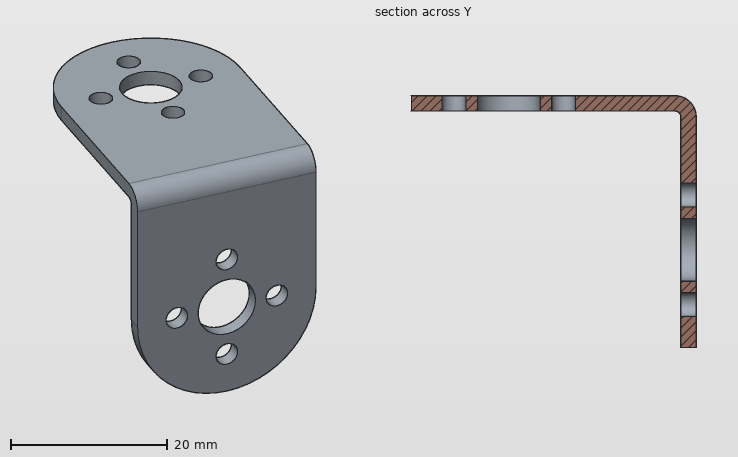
import cadquery as cq

width = 25.0
length_x = 36.5
height_z = 32.25
thickness = 2.0
inner_bend_radius = 0.74
outer_bend_radius = inner_bend_radius + thickness

end_radius = width / 2
center_hole_diameter = 8.0
screw_hole_diameter = 3.0
screw_circle_radius = 7.0
screw_count = 4

horizontal_reach = length_x - end_radius
vertical_reach = height_z - end_radius


def leg_blank(reach):
    """Flat leg on the XY plane: outer corner at X = 0, rounded end towards -X."""
    return (
        cq.Workplane("XY")
        .moveTo(0, -end_radius)
        .lineTo(-reach, -end_radius)
        .threePointArc((-reach - end_radius, 0), (-reach, end_radius))
        .lineTo(0, end_radius)
        .close()
        .extrude(-thickness)
    )


def leg_holes(reach):
    """Cutters for the centre hole and its ring of screw holes in a flat leg."""
    base = cq.Workplane("XY").center(-reach, 0)
    center_hole = base.circle(center_hole_diameter / 2).extrude(-thickness)
    screw_holes = (
        base.polarArray(screw_circle_radius, 0, 360, screw_count)
        .circle(screw_hole_diameter / 2)
        .extrude(-thickness)
    )
    return center_hole.union(screw_holes)


def make_leg(reach):
    """Flat leg with its rounded end and hole pattern."""
    return leg_blank(reach).cut(leg_holes(reach))


def stand_up(leg):
    """Turn a flat leg so it hangs towards -Z with its outer face at X = 0."""
    return leg.rotate((0, 0, 0), (0, 1, 0), -90).mirror("YZ")


def round_bend(bracket):
    """Round the inner and outer edges of the bend between the legs."""
    inner_edge = cq.selectors.NearestToPointSelector((-thickness, 0, -thickness))
    outer_edge = cq.selectors.NearestToPointSelector((0, 0, 0))
    bracket = bracket.edges("|Y").edges(inner_edge).fillet(inner_bend_radius)
    return bracket.edges("|Y").edges(outer_edge).fillet(outer_bend_radius)


horizontal_leg = make_leg(horizontal_reach)
vertical_leg = stand_up(make_leg(vertical_reach))
result = round_bend(horizontal_leg.union(vertical_leg))